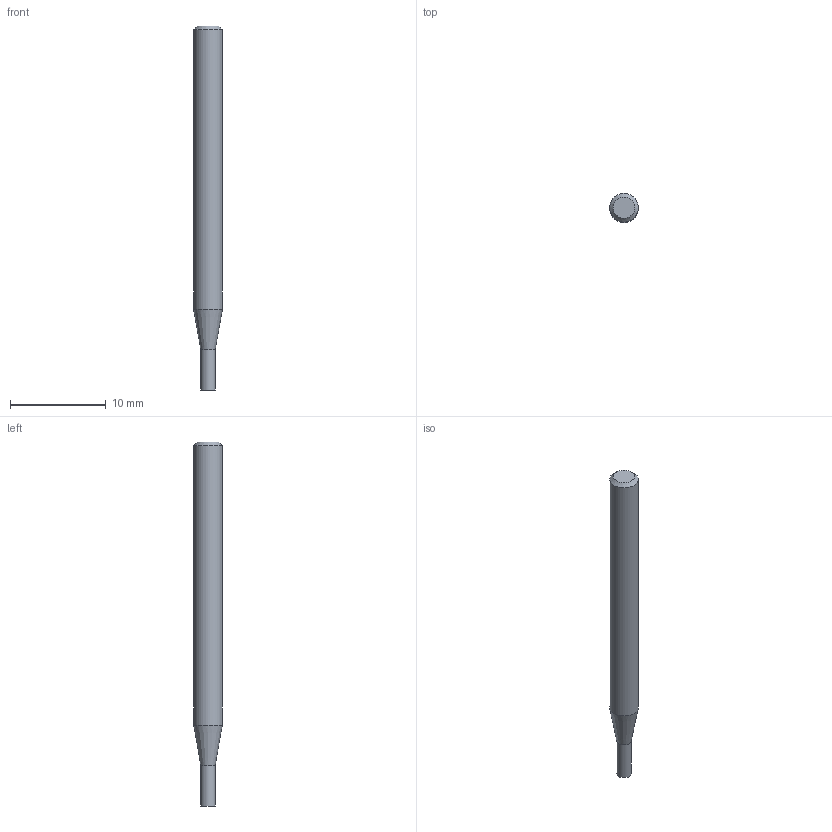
import cadquery as cq
import math

overall_length = 38.0
shank_diameter = 3.0
tip_diameter = 1.5
tip_length = 4.2
taper_half_angle = 10.0
chamfer_size = 0.38

shank_radius = shank_diameter / 2
tip_radius = tip_diameter / 2
taper_length = (shank_radius - tip_radius) / math.tan(math.radians(taper_half_angle))
shank_start = tip_length + taper_length


def turned_body():
    """Tip, taper and shank as one half profile turned about the Z axis."""
    half_profile = (
        cq.Workplane("XZ")
        .moveTo(0, 0)
        .lineTo(tip_radius, 0)
        .lineTo(tip_radius, tip_length)
        .lineTo(shank_radius, shank_start)
        .lineTo(shank_radius, overall_length)
        .lineTo(0, overall_length)
        .close()
    )
    return half_profile.revolve(360, (0, 0, 0), (0, 1, 0))


def chamfer_shank_end(body):
    """Bevel the rim of the upper end face."""
    return body.faces(">Z").edges().chamfer(chamfer_size)


result = chamfer_shank_end(turned_body())